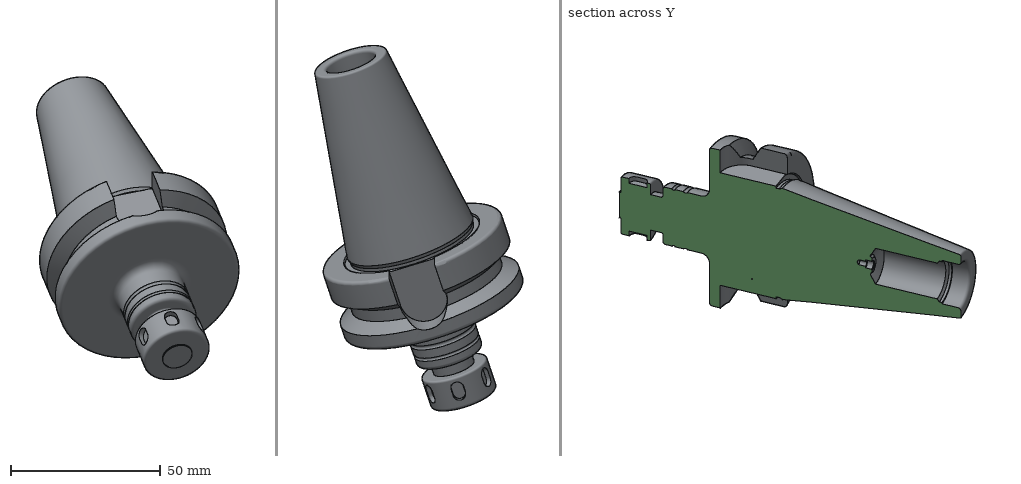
import cadquery as cq
import math

TAN_30 = math.tan(math.radians(30))

TOTAL_LENGTH = 125.4
TAPER_LENGTH = 65.5
FLANGE_START = 67.3
FLANGE_END = 92.4
SHANK_END = 109.5
NUT_START = 113.7
NUT_END = 124.9

GAUGE_RADIUS = 22.2
TAPER_RATIO = 7 / 24
SMALL_END_RADIUS = GAUGE_RADIUS - TAPER_LENGTH * TAPER_RATIO / 2
SMALL_END_FILLET = 0.8

RELIEF_START = 66.3
RELIEF_STEP = 66.7
RELIEF_RADIUS = 21.8
RELIEF_FLOOR_RADIUS = 21.7

RECESS_MOUTH_RADIUS = 24.0
RECESS_FLOOR_RADIUS = 23.6
RECESS_DEPTH = 0.5

FLANGE_RADIUS = 31.5
FLANGE_FILLET = 1.3
GROOVE_CENTER = 82.0
GROOVE_FLOOR_WIDTH = 4.1
GROOVE_FLOOR_RADIUS = 26.5
GROOVE_WALL_RUN = (FLANGE_RADIUS - GROOVE_FLOOR_RADIUS) * TAN_30
GROOVE_FLOOR_START = GROOVE_CENTER - GROOVE_FLOOR_WIDTH / 2
GROOVE_FLOOR_END = GROOVE_CENTER + GROOVE_FLOOR_WIDTH / 2

KEYWAY_WIDTH = 16.0
KEYWAY_END = 88.3
KEYWAY_FLOOR = 22.5

SHANK_DIAMETER = 23.0
SHANK_RADIUS = SHANK_DIAMETER / 2
SHANK_ROOT_FILLET = 2.9
SHANK_END_FILLET = 1.3
RING_GROOVES = [(101.1, 1.5), (105.5, 1.1)]
RING_GROOVE_DEPTH = 0.4
NECK_RADIUS = 7.1
NECK_FILLET = 0.5

NUT_RADIUS = SHANK_RADIUS
NUT_BACK_FILLET = 0.8
NUT_FRONT_FILLET = 1.0
COLLET_RADIUS = 5.1
WRENCH_SLOT_COUNT = 6
WRENCH_SLOT_CENTER = 118.5
WRENCH_SLOT_LENGTH = 6.5
WRENCH_SLOT_WIDTH = 4.3
WRENCH_SLOT_DEPTH = 1.9

PILOT_RADIUS = 8.5
THREAD_RADIUS = 8.0
BORE_RADIUS = 7.0
BORE_MOUTH_FILLET = 1.1
PILOT_DEPTH = 7.0
THREAD_DEPTH = 8.0
THREAD_CHAMFER_END = 8.8
BORE_DEPTH = 31.4

SCREW_RADIUS = 3.6
SCREW_FACE_RADIUS = 2.9
BORE_CONE_DEPTH = BORE_DEPTH + (BORE_RADIUS - SCREW_RADIUS) * TAN_30
SCREW_CHAMFER = SCREW_RADIUS - SCREW_FACE_RADIUS
SOCKET_RADIUS = 1.8
SOCKET_FLOOR_RADIUS = 1.5
SOCKET_CHAMFER = SOCKET_RADIUS - SOCKET_FLOOR_RADIUS
SOCKET_DEPTH = 2.5
PIN_HOLE_RADIUS = 0.9
PIN_HOLE_DEPTH = 2.5
DRILL_TIP_DEPTH = PIN_HOLE_RADIUS * TAN_30


def revolve_about_x(profile):
    """Turn a closed profile, drawn as (x, radius), about the X axis."""
    return profile.close().revolve(360, (0, 0, 0), (1, 0, 0))


def taper_and_relief():
    profile = (
        cq.Workplane("XY")
        .moveTo(0, 0)
        .lineTo(0, SMALL_END_RADIUS)
        .lineTo(TAPER_LENGTH, GAUGE_RADIUS)
        .lineTo(RELIEF_START, RELIEF_RADIUS)
        .lineTo(RELIEF_STEP, RELIEF_FLOOR_RADIUS)
        .lineTo(FLANGE_START + RECESS_DEPTH, RELIEF_FLOOR_RADIUS)
        .lineTo(FLANGE_START + RECESS_DEPTH, 0)
    )
    return revolve_about_x(profile).faces("<X").edges().fillet(SMALL_END_FILLET)


def flange():
    profile = (
        cq.Workplane("XY")
        .moveTo(FLANGE_START + RECESS_DEPTH, 0)
        .lineTo(FLANGE_START + RECESS_DEPTH, RECESS_FLOOR_RADIUS)
        .lineTo(FLANGE_START, RECESS_MOUTH_RADIUS)
        .lineTo(FLANGE_START, FLANGE_RADIUS - FLANGE_FILLET)
        .radiusArc((FLANGE_START + FLANGE_FILLET, FLANGE_RADIUS), FLANGE_FILLET)
        .lineTo(GROOVE_FLOOR_START - GROOVE_WALL_RUN, FLANGE_RADIUS)
        .lineTo(GROOVE_FLOOR_START, GROOVE_FLOOR_RADIUS)
        .lineTo(GROOVE_FLOOR_END, GROOVE_FLOOR_RADIUS)
        .lineTo(GROOVE_FLOOR_END + GROOVE_WALL_RUN, FLANGE_RADIUS)
        .lineTo(FLANGE_END - FLANGE_FILLET, FLANGE_RADIUS)
        .radiusArc((FLANGE_END, FLANGE_RADIUS - FLANGE_FILLET), FLANGE_FILLET)
        .lineTo(FLANGE_END, 0)
    )
    return revolve_about_x(profile)


def shank_and_neck():
    profile = (
        cq.Workplane("XY")
        .moveTo(FLANGE_END, 0)
        .lineTo(FLANGE_END, SHANK_RADIUS + SHANK_ROOT_FILLET)
        .radiusArc((FLANGE_END + SHANK_ROOT_FILLET, SHANK_RADIUS), -SHANK_ROOT_FILLET)
    )
    for center, width in RING_GROOVES:
        profile = (
            profile
            .lineTo(center - width / 2, SHANK_RADIUS)
            .threePointArc(
                (center, SHANK_RADIUS - RING_GROOVE_DEPTH),
                (center + width / 2, SHANK_RADIUS),
            )
        )
    profile = (
        profile
        .lineTo(SHANK_END - SHANK_END_FILLET, SHANK_RADIUS)
        .radiusArc((SHANK_END, SHANK_RADIUS - SHANK_END_FILLET), SHANK_END_FILLET)
        .lineTo(SHANK_END, NECK_RADIUS + NECK_FILLET)
        .radiusArc((SHANK_END + NECK_FILLET, NECK_RADIUS), -NECK_FILLET)
        .lineTo(NUT_START, NECK_RADIUS)
        .lineTo(NUT_START, 0)
    )
    return revolve_about_x(profile)


def nut_and_collet():
    nut = cq.Workplane("YZ", origin=(NUT_START, 0, 0)).circle(NUT_RADIUS).extrude(NUT_END - NUT_START)
    nut = nut.faces("<X").edges().fillet(NUT_BACK_FILLET)
    nut = nut.faces(">X").edges().fillet(NUT_FRONT_FILLET)
    slot = (
        cq.Workplane("XY", origin=(WRENCH_SLOT_CENTER, 0, NUT_RADIUS - WRENCH_SLOT_DEPTH))
        .slot2D(WRENCH_SLOT_LENGTH, WRENCH_SLOT_WIDTH)
        .extrude(2 * WRENCH_SLOT_DEPTH)
    )
    for index in range(WRENCH_SLOT_COUNT):
        nut = nut.cut(slot.rotate((0, 0, 0), (1, 0, 0), index * 360 / WRENCH_SLOT_COUNT))
    collet = cq.Workplane("YZ", origin=(NUT_START, 0, 0)).circle(COLLET_RADIUS)
    return nut.union(collet.extrude(TOTAL_LENGTH - NUT_START))


def keyways():
    straight_length = KEYWAY_END - KEYWAY_WIDTH / 2 - FLANGE_START
    height = FLANGE_RADIUS - KEYWAY_FLOOR
    upper = (
        cq.Workplane("XY", origin=(FLANGE_START, 0, KEYWAY_FLOOR))
        .moveTo(0, -KEYWAY_WIDTH / 2)
        .lineTo(straight_length, -KEYWAY_WIDTH / 2)
        .threePointArc((KEYWAY_END - FLANGE_START, 0), (straight_length, KEYWAY_WIDTH / 2))
        .lineTo(0, KEYWAY_WIDTH / 2)
        .close()
        .extrude(height)
    )
    return upper.union(upper.mirror("XY"))


def drawbar_bore():
    screw_face = BORE_CONE_DEPTH - SCREW_CHAMFER
    socket_floor = screw_face + SOCKET_DEPTH
    pin_hole_floor = socket_floor + PIN_HOLE_DEPTH
    profile = cq.Workplane("XY").polyline([
        (0, 0),
        (0, PILOT_RADIUS),
        (PILOT_DEPTH, PILOT_RADIUS),
        (PILOT_DEPTH, THREAD_RADIUS),
        (THREAD_DEPTH, THREAD_RADIUS),
        (THREAD_CHAMFER_END, BORE_RADIUS),
        (BORE_DEPTH, BORE_RADIUS),
        (BORE_CONE_DEPTH, SCREW_RADIUS),
        (screw_face, SCREW_FACE_RADIUS),
        (screw_face, SOCKET_RADIUS),
        (screw_face + SOCKET_CHAMFER, SOCKET_FLOOR_RADIUS),
        (socket_floor, SOCKET_FLOOR_RADIUS),
        (socket_floor, PIN_HOLE_RADIUS),
        (pin_hole_floor, PIN_HOLE_RADIUS),
        (pin_hole_floor + DRILL_TIP_DEPTH, 0),
    ])
    return revolve_about_x(profile)


body = taper_and_relief().union(flange()).union(shank_and_neck()).union(nut_and_collet())
body = body.cut(keyways()).cut(drawbar_bore())
bore_mouth = cq.selectors.RadiusNthSelector(0)
result = body.faces("<X").edges(bore_mouth).fillet(BORE_MOUTH_FILLET)